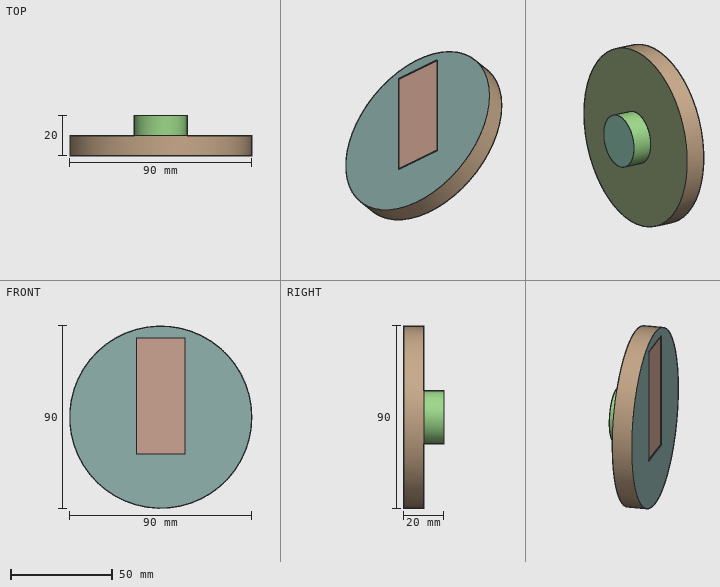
import cadquery as cq

disc_diameter = 90.0
overall_depth = 20.0
disc_thickness = overall_depth / 2

boss_diameter = 26.3
boss_length = overall_depth - disc_thickness

recess_width = 24.1
recess_top = 39.0
recess_bottom = -18.3
recess_depth = 0.5


def cylinder_along_y(diameter, front, length):
    """Cylinder on the Y axis, running from y = front toward +Y."""
    plane = cq.Workplane("XZ", origin=(0, front, 0))
    return plane.circle(diameter / 2).extrude(-length)


def front_recess():
    """Block removed from the front face, centred across X."""
    height = recess_top - recess_bottom
    block = cq.Workplane("XY").box(recess_width, recess_depth, height, centered=(True, False, False))
    return block.translate((0, 0, recess_bottom))


disc = cylinder_along_y(disc_diameter, 0, disc_thickness)
boss = cylinder_along_y(boss_diameter, disc_thickness, boss_length)
result = disc.union(boss).cut(front_recess())